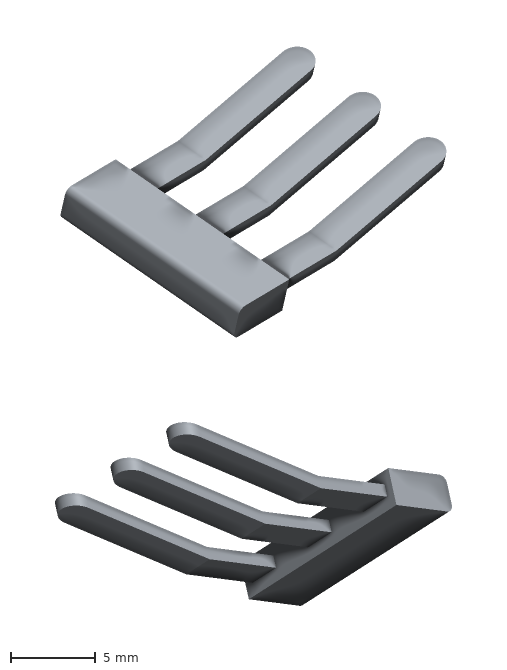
import cadquery as cq
import math

TILT_ANGLE = 15.0

BODY_WIDTH = 13.8
BODY_DEPTH = 4.5
BODY_HEIGHT = 2.4
BODY_FILLET = 0.5

PIN_COUNT = 3
PIN_PITCH = 5.2
PIN_WIDTH = 2.2
PIN_THICKNESS = 0.8
PIN_ROOT_LENGTH = 5.23
PIN_BLADE_REACH = 10.02

BLADE_RISE = PIN_BLADE_REACH * math.tan(math.radians(TILT_ANGLE))
BODY_BACK_Y = -PIN_ROOT_LENGTH
BODY_FRONT_Y = BODY_BACK_Y - BODY_DEPTH
BODY_BOTTOM_Z = -(BODY_HEIGHT + PIN_THICKNESS) / 2


def make_body():
    """Rectangular bar with its two long front edges rounded."""
    bar = cq.Workplane("XY").box(BODY_WIDTH, BODY_DEPTH, BODY_HEIGHT, centered=(True, False, False))
    bar = bar.faces("<Y").edges("|X").fillet(BODY_FILLET)
    return bar.translate((0, BODY_FRONT_Y, BODY_BOTTOM_Z))


def make_pin(center_x):
    """Bent strip whose outline, round tip included, is cut square to the body's top face."""
    strip = (
        cq.Workplane("YZ")
        .moveTo(BODY_BACK_Y, 0)
        .lineTo(0, 0)
        .lineTo(PIN_BLADE_REACH, BLADE_RISE)
        .lineTo(PIN_BLADE_REACH, BLADE_RISE - PIN_THICKNESS)
        .lineTo(0, -PIN_THICKNESS)
        .lineTo(BODY_BACK_Y, -PIN_THICKNESS)
        .close()
        .extrude(PIN_WIDTH / 2, both=True)
    )
    tip_radius = PIN_WIDTH / 2
    outline = (
        cq.Workplane("XY")
        .workplane(offset=-PIN_THICKNESS)
        .moveTo(-tip_radius, BODY_BACK_Y)
        .lineTo(tip_radius, BODY_BACK_Y)
        .lineTo(tip_radius, PIN_BLADE_REACH - tip_radius)
        .threePointArc((0, PIN_BLADE_REACH), (-tip_radius, PIN_BLADE_REACH - tip_radius))
        .close()
        .extrude(BLADE_RISE + PIN_THICKNESS)
    )
    return strip.intersect(outline).translate((center_x, 0, 0))


def make_part():
    """Body with its row of pins, tilted so that the pin blades lie flat."""
    part = make_body()
    for index in range(PIN_COUNT):
        part = part.union(make_pin((index - (PIN_COUNT - 1) / 2) * PIN_PITCH))
    return part.rotate((0, 0, 0), (1, 0, 0), -TILT_ANGLE)


result = make_part()